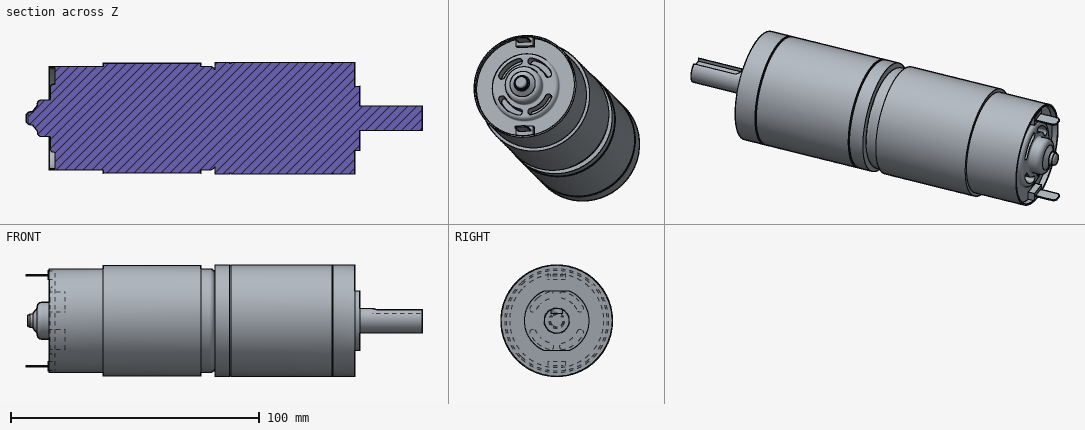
import cadquery as cq
import math


DIAGONAL = math.sqrt(0.5)

total_length = 159.54
terminal_reach = 9.3
sleeve_start = 21.7
sleeve_end = 61.1
can_end = 66.7
gearbox_front = 123.0
pilot_height = 2.0
shaft_end = total_length - terminal_reach

can_diameter = 41.83
can_front_fillet = 2.0
sleeve_diameter = 44.5

rim_inner_diameter = 40.56
recess_depth = 2.3
pad_diameter = 27.5
pad_edge_radius = 1.4
pad_base_fillet = 0.5
pad_height = pad_edge_radius + pad_base_fillet
pad_top = recess_depth - pad_height
root_depth = 0.5

boss_diameter = 14.91
boss_edge_radius = 1.75
boss_base_fillet = 0.4
boss_face = -4.8
cone_base_diameter = 10.4
cone_top_diameter = 6.35
cone_face = -6.4
collar_diameter = 5.44
collar_face = -7.7
tip_diameter = 4.93
tip_face = -8.7
tip_end_diameter = 3.3

slot_center_radius = 10.65
slot_width = 2.6
slot_depth = 6.0
slot_start_angle = 26.5
slot_end_angle = 76.5

terminal_offset = 18.3
terminal_width = 5.0
terminal_thickness = 0.5
terminal_chamfer = 1.0
block_width = 7.0
block_inner_edge = 16.5
block_face = -0.5

gearbox_diameter = 45.0
groove_diameter = 44.5
groove_width = 0.5
groove_centers = (72.9, 114.0)
pilot_diameter = 26.0
pilot_across_flats = 24.0

shaft_diameter = 10.0
keyway_width = 4.5
keyway_depth = 2.0
keyway_length = 20.0


def cylinder(diameter, start, end):
    """Solid cylinder on the X axis from x = start to x = end."""
    return cq.Workplane("YZ", origin=(start, 0, 0)).circle(diameter / 2).extrude(end - start)


def motor_can():
    can = cylinder(can_diameter, 0, can_end).faces(">X").edges().fillet(can_front_fillet)
    can = can.cut(cylinder(rim_inner_diameter, 0, recess_depth))
    return can.union(cylinder(sleeve_diameter, sleeve_start, sleeve_end))


def convex_edge(profile, face, radius, edge):
    """From (face + edge, radius), round the outer edge off to the flat face at x = face."""
    middle = (face + edge * (1 - DIAGONAL), radius - edge * (1 - DIAGONAL))
    return profile.threePointArc(middle, (face, radius - edge))


def concave_base(profile, floor, radius, fillet):
    """From (floor, radius + fillet), sweep up from the flat floor to a wall of the given radius."""
    middle = (floor - fillet * (1 - DIAGONAL), radius + fillet * (1 - DIAGONAL))
    return profile.threePointArc(middle, (floor - fillet, radius))


def spin(profile):
    """Close a half profile lying in the XY plane and revolve it about the X axis."""
    return profile.close().revolve(360, (0, 0, 0), (1, 0, 0))


def rear_pad():
    """Raised disc on the recessed face with a filleted base and a rounded edge."""
    radius = pad_diameter / 2
    profile = (
        cq.Workplane("XY")
        .moveTo(recess_depth + root_depth, 0)
        .lineTo(recess_depth + root_depth, radius + pad_base_fillet)
        .lineTo(recess_depth, radius + pad_base_fillet)
    )
    profile = concave_base(profile, recess_depth, radius, pad_base_fillet)
    profile = convex_edge(profile, pad_top, radius, pad_edge_radius)
    return spin(profile.lineTo(pad_top, 0))


def rear_boss():
    """Bearing boss with a conical nose, a collar and a rounded shaft tip."""
    radius = boss_diameter / 2
    tip_radius = tip_diameter / 2
    tip_rounding = (tip_diameter - tip_end_diameter) / 2
    profile = (
        cq.Workplane("XY")
        .moveTo(pad_top + root_depth, 0)
        .lineTo(pad_top + root_depth, radius + boss_base_fillet)
        .lineTo(pad_top, radius + boss_base_fillet)
    )
    profile = concave_base(profile, pad_top, radius, boss_base_fillet)
    profile = profile.lineTo(boss_face + boss_edge_radius, radius)
    profile = convex_edge(profile, boss_face, radius, boss_edge_radius)
    profile = (
        profile.lineTo(boss_face, cone_base_diameter / 2)
        .lineTo(cone_face, cone_top_diameter / 2)
        .lineTo(cone_face, collar_diameter / 2)
        .lineTo(collar_face, collar_diameter / 2)
        .lineTo(collar_face, tip_radius)
        .lineTo(tip_face + tip_rounding, tip_radius)
    )
    profile = convex_edge(profile, tip_face, tip_radius, tip_rounding)
    return spin(profile.lineTo(tip_face, 0))


def vent_slot(side_y, side_z):
    """Cutter for one round-ended arc slot in the quadrant given by the signs of Y and Z."""
    inner = slot_center_radius - slot_width / 2
    outer = slot_center_radius + slot_width / 2

    def point(radius, angle):
        turn = math.radians(angle)
        return (side_y * radius * math.cos(turn), side_z * radius * math.sin(turn))

    middle_angle = (slot_start_angle + slot_end_angle) / 2
    cap_angle = math.degrees(slot_width / 2 / slot_center_radius)
    return (
        cq.Workplane("YZ", origin=(pad_top, 0, 0))
        .moveTo(*point(inner, slot_start_angle))
        .threePointArc(point(inner, middle_angle), point(inner, slot_end_angle))
        .threePointArc(
            point(slot_center_radius, slot_end_angle + cap_angle), point(outer, slot_end_angle)
        )
        .threePointArc(point(outer, middle_angle), point(outer, slot_start_angle))
        .threePointArc(
            point(slot_center_radius, slot_start_angle - cap_angle), point(inner, slot_start_angle)
        )
        .close()
        .extrude(slot_depth)
    )


def terminal(side):
    """Blade terminal with its insulating block; side is +1 for +Z and -1 for -Z."""
    blade_length = terminal_reach + recess_depth
    blade = (
        cq.Workplane("XY")
        .box(blade_length, terminal_width, terminal_thickness)
        .edges("|Z and <X")
        .chamfer(terminal_chamfer)
        .translate((recess_depth - blade_length / 2, 0, side * terminal_offset))
    )
    block_height = rim_inner_diameter / 2 - block_inner_edge
    block_length = recess_depth - block_face
    block = (
        cq.Workplane("XY")
        .box(block_length, block_width, block_height)
        .translate((block_face + block_length / 2, 0, side * (block_inner_edge + block_height / 2)))
        .intersect(cylinder(rim_inner_diameter, block_face, recess_depth))
    )
    return block.union(blade)


def gearbox():
    body = cylinder(gearbox_diameter, can_end, gearbox_front)
    for center in groove_centers:
        start = center - groove_width / 2
        end = center + groove_width / 2
        ring = cylinder(gearbox_diameter, start, end).cut(cylinder(groove_diameter, start, end))
        body = body.cut(ring)
    pilot_end = gearbox_front + pilot_height
    flats = cq.Workplane("XY").box(2 * pilot_end, pilot_diameter, pilot_across_flats)
    pilot = cylinder(pilot_diameter, gearbox_front, pilot_end).intersect(flats)
    return body.union(pilot)


def output_shaft():
    shaft = cylinder(shaft_diameter, gearbox_front, shaft_end)
    keyway_start = shaft_end - keyway_length
    round_center = keyway_start + keyway_width / 2
    floor = shaft_diameter / 2 - keyway_depth
    plane = cq.Workplane("XY", origin=(0, 0, floor))
    keyway = (
        plane.moveTo(shaft_end, -keyway_width / 2)
        .lineTo(round_center, -keyway_width / 2)
        .threePointArc((keyway_start, 0), (round_center, keyway_width / 2))
        .lineTo(shaft_end, keyway_width / 2)
        .close()
        .extrude(keyway_depth)
    )
    return shaft.cut(keyway)


result = motor_can().union(rear_pad())
for side_y in (1, -1):
    for side_z in (1, -1):
        result = result.cut(vent_slot(side_y, side_z))
result = result.union(rear_boss())
for side in (1, -1):
    result = result.union(terminal(side))
result = result.union(gearbox()).union(output_shaft())